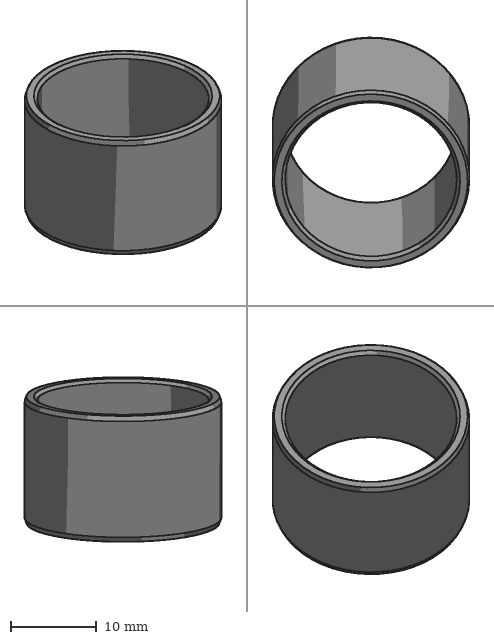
import cadquery as cq
import math

outer_diameter = 23.0
bore_diameter = 20.0
length = 15.0

outer_chamfer_length = 0.6
outer_chamfer_angle = 20.0
outer_chamfer_depth = outer_chamfer_length * math.tan(math.radians(outer_chamfer_angle))

bore_chamfer = 0.4

outer_radius = outer_diameter / 2
bore_radius = bore_diameter / 2


def wall_section():
    """Closed half-section of the wall: local x is radius, local y is height."""
    return (
        cq.Workplane("XZ")
        .moveTo(bore_radius + bore_chamfer, 0)
        .lineTo(outer_radius - outer_chamfer_depth, 0)
        .lineTo(outer_radius, outer_chamfer_length)
        .lineTo(outer_radius, length - outer_chamfer_length)
        .lineTo(outer_radius - outer_chamfer_depth, length)
        .lineTo(bore_radius + bore_chamfer, length)
        .lineTo(bore_radius, length - bore_chamfer)
        .lineTo(bore_radius, bore_chamfer)
        .close()
    )


result = wall_section().revolve(360, (0, 0, 0), (0, 1, 0))